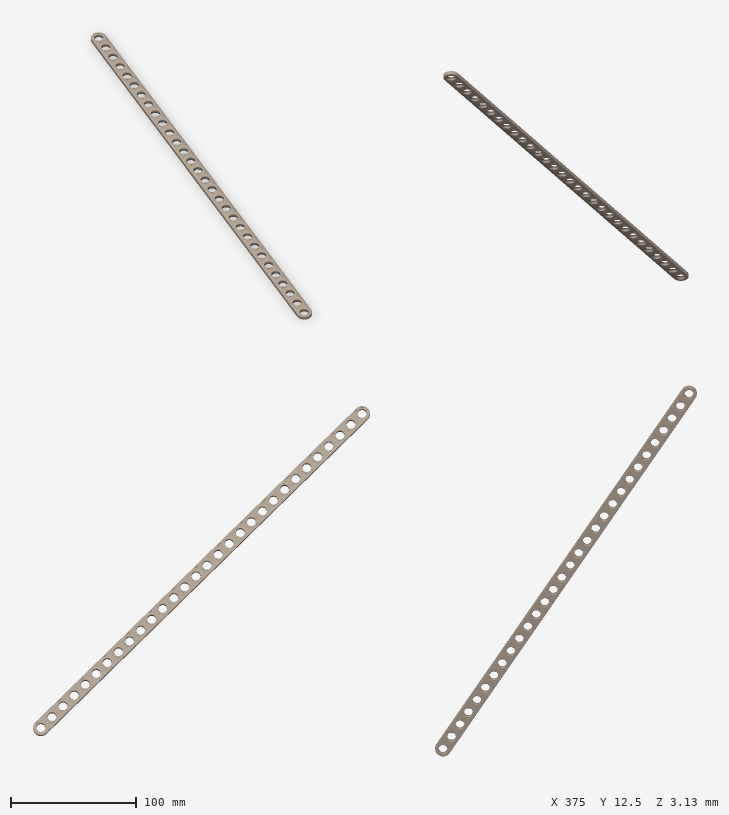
import cadquery as cq

pitch = 12.5
hole_count = 30
hole_diameter = 7.0
edge_chamfer = 0.3
rim_width = 0.8
recess_depth = 0.2
mark_size = 1.5

width = pitch
length = hole_count * pitch
thickness = pitch / 4
top = thickness / 2
recess_floor = top - recess_depth
rim_offset = edge_chamfer + rim_width
hole_rim_diameter = hole_diameter + 2 * rim_offset
first_hole_x = -(hole_count - 1) * pitch / 2
hole_positions = [(first_hole_x + i * pitch, 0) for i in range(hole_count)]
mark_x = first_hole_x + pitch / 2


def make_strip():
    """Flat bar with full-round ends, centred on the origin, its outer edges chamfered."""
    bar = cq.Workplane("XY").slot2D(length, width).extrude(top, both=True)
    return bar.faces("|Z").edges().chamfer(edge_chamfer)


def make_recess():
    """Shallow pocket inside the outer rim, leaving a round rim around every hole."""
    floor_plane = cq.Workplane("XY").workplane(offset=recess_floor)
    pocket = floor_plane.slot2D(length - 2 * rim_offset, width - 2 * rim_offset).extrude(recess_depth)
    hole_rims = floor_plane.pushPoints(hole_positions).circle(hole_rim_diameter / 2).extrude(recess_depth)
    return pocket.cut(hole_rims)


def make_hole_cutter():
    """Through hole with both mouths chamfered, as a solid of revolution about Z."""
    hole_radius = hole_diameter / 2
    mouth_radius = hole_radius + edge_chamfer
    chamfer_start = top - edge_chamfer
    profile = [
        (0, top),
        (mouth_radius, top),
        (hole_radius, chamfer_start),
        (hole_radius, -chamfer_start),
        (mouth_radius, -top),
        (0, -top),
    ]
    return cq.Workplane("XZ").polyline(profile).close().revolve(360, (0, 0, 0), (0, 1, 0)).val()


def cut_holes(body):
    """Row of chamfered holes, evenly spaced along X."""
    cutter = make_hole_cutter()
    cutters = [cutter.moved(cq.Location(cq.Vector(x, y, 0))) for x, y in hole_positions]
    return cq.Workplane(body.val().cut(*cutters))


def make_end_mark():
    """Square pad between the first two holes, rising from inside the bar to the rim height."""
    return cq.Workplane("XY").center(mark_x, 0).rect(mark_size, mark_size).extrude(top)


strip = make_strip().cut(make_recess())
result = cut_holes(strip).union(make_end_mark())